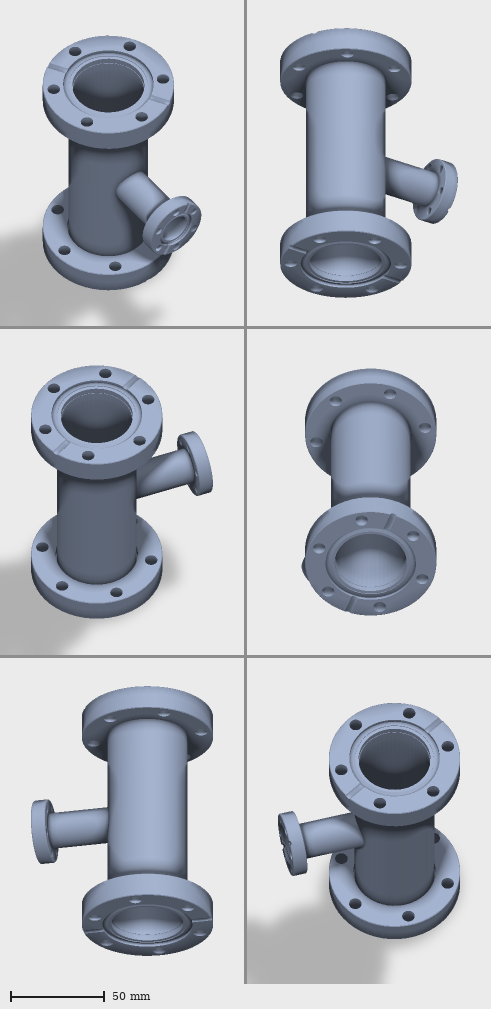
import cadquery as cq

total_height = 126.0
main_flange_diameter = 70.0
branch_reach = 60.0
edge_chamfer = 0.4

main_tube_outer = 42.6
main_tube_inner = 38.0
branch_tube_outer = 19.0
branch_tube_inner = 16.0
tube_end_depth = 4.5

main_flange_thickness = 13.0
main_bolt_circle = 58.7
main_bolt_hole = 6.7
hub_diameter = 48.3
hub_bore = 38.4
hub_height = 8.0
ring_back_bore = 43.8
main_knife_diameter = 42.0
main_slot_width = 3.5

branch_flange_diameter = 34.0
branch_flange_thickness = 7.7
branch_bolt_circle = 27.0
branch_bolt_hole = 4.3
branch_gasket_diameter = 21.3
branch_knife_diameter = 18.3
branch_slot_width = 2.8

bolt_count = 6
gasket_floor_depth = 1.9
knife_depth = 0.8
shelf_depth = 1.1
slot_depth = 1.0


def disc(diameter, top, bottom):
    return cq.Workplane("XY").workplane(offset=bottom).circle(diameter / 2).extrude(top - bottom)


def bolt_holes(circle_diameter, hole_diameter, thickness):
    return (
        cq.Workplane("XY")
        .polarArray(circle_diameter / 2, 0, 360, bolt_count)
        .circle(hole_diameter / 2)
        .extrude(-thickness)
    )


def leak_slots(width, flange_diameter):
    """Round-bottomed groove across the face, midway between bolt holes."""
    radius = ((width / 2) ** 2 + slot_depth ** 2) / (2 * slot_depth)
    groove = (
        cq.Workplane("YZ")
        .center(0, radius - slot_depth)
        .circle(radius)
        .extrude(flange_diameter / 2, both=True)
    )
    return groove.rotate((0, 0, 0), (0, 0, 1), 180 / bolt_count)


def seal_body(outer, knife, bore, socket, height):
    """Hub with a conical knife edge, a stepped bore and a tube socket."""
    return (
        cq.Workplane("XZ")
        .moveTo(socket / 2, -height)
        .lineTo(outer / 2, -height)
        .lineTo(outer / 2, -gasket_floor_depth)
        .lineTo(knife / 2, -knife_depth)
        .lineTo(knife / 2, -shelf_depth)
        .lineTo(bore / 2, -shelf_depth)
        .lineTo(bore / 2, -tube_end_depth)
        .lineTo(socket / 2, -tube_end_depth)
        .close()
        .revolve(360, (0, 0, 0), (0, 1, 0))
    )


def flange_blank(diameter, thickness):
    return disc(diameter, 0, -thickness).edges().chamfer(edge_chamfer)


def make_hub():
    return seal_body(hub_diameter, main_knife_diameter, hub_bore, main_tube_outer, hub_height)


def make_ring():
    ring = flange_blank(main_flange_diameter, main_flange_thickness)
    ring = ring.cut(disc(ring_back_bore, 0, -main_flange_thickness))
    ring = ring.cut(disc(hub_diameter, 0, -hub_height))
    ring = ring.cut(bolt_holes(main_bolt_circle, main_bolt_hole, main_flange_thickness))
    return ring.cut(leak_slots(main_slot_width, main_flange_diameter))


def make_branch_flange():
    rim = flange_blank(branch_flange_diameter, branch_flange_thickness)
    rim = rim.cut(disc(branch_gasket_diameter, 0, -branch_flange_thickness))
    rim = rim.cut(leak_slots(branch_slot_width, branch_flange_diameter))
    seal = seal_body(
        branch_gasket_diameter, branch_knife_diameter, branch_tube_inner,
        branch_tube_outer, branch_flange_thickness,
    )
    flange = rim.union(seal)
    flange = flange.cut(bolt_holes(branch_bolt_circle, branch_bolt_hole, branch_flange_thickness))
    flange = flange.rotate((0, 0, 0), (0, 0, 1), -360 / bolt_count)
    return flange.rotate((0, 0, 0), (0, 1, 0), 90).translate((branch_reach, 0, 0))


def make_main_tube():
    half_length = total_height / 2 - tube_end_depth
    tube = disc(main_tube_outer, half_length, -half_length)
    tube = tube.cut(disc(main_tube_inner, half_length, -half_length))
    port = cq.Workplane("YZ").circle(branch_tube_inner / 2).extrude(main_tube_outer)
    return tube.cut(port)


def make_branch_tube():
    length = branch_reach - tube_end_depth
    tube = (
        cq.Workplane("YZ")
        .circle(branch_tube_outer / 2)
        .circle(branch_tube_inner / 2)
        .extrude(length)
    )
    return tube.cut(disc(main_tube_outer, branch_tube_outer, -branch_tube_outer))


def place_at_end(body, end):
    """Move a main flange part to the top (end = 1) or the bottom (end = -1)."""
    if end < 0:
        body = body.rotate((0, 0, 0), (1, 0, 0), 180).rotate((0, 0, 0), (0, 0, 1), 180 / bolt_count)
    return body.translate((0, 0, end * total_height / 2))


main_tube = make_main_tube()
branch_tube = make_branch_tube()
branch_flange = make_branch_flange()
hubs = []
rings = []
for end in (1, -1):
    hubs.append(place_at_end(make_hub(), end).val())
    rings.append(place_at_end(make_ring(), end).val())

result = cq.Compound.makeCompound(
    [main_tube.val(), branch_tube.val(), branch_flange.val(), *hubs, *rings]
)